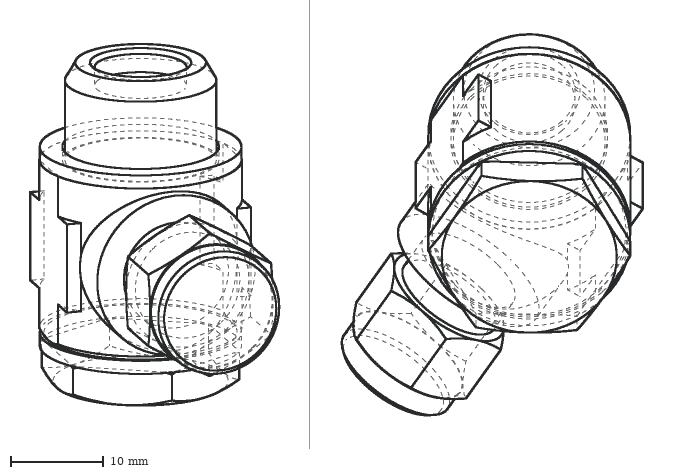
import cadquery as cq
import math

head_height = 4.0
washer_thickness = 1.5
body_height = 19.5
stud_height = 9.5
body_bottom = head_height + washer_thickness
body_top = body_bottom + body_height
stud_bottom = body_top + washer_thickness
overall_height = stud_bottom + stud_height

body_radius = 11.0
body_chamfer = 0.5
flat_distance = 21.0
pad_width = 12.95
pad_height = 10.0

head_across_flats = 19.0
head_top_radius = 10.55
washer_radius = 10.95
washer_bore_radius = 8.5
stud_radius = 8.23
stud_tip_radius = 7.1
stud_tip_height = 2.0
socket_radius = 5.0
socket_depth = 2.57
socket_chamfer = 0.5

branch_height = 15.5
boss_radius = 9.0
boss_end = 12.5
neck_radius = 5.95
nut_start = 16.5
nut_end = 24.95
nut_across_flats = 14.0
collar_radius = 6.9
branch_end = 28.0
collar_chamfer = 0.5

hex_chamfer_angle = math.radians(30)


def cylinder(radius, bottom, top):
    """Vertical cylinder between two heights."""
    return cq.Workplane("XY").workplane(offset=bottom).circle(radius).extrude(top - bottom)


def branch_plane(distance):
    """Plane across the branch axis, facing +X, at a distance from the vertical axis."""
    return cq.Workplane("YZ", origin=(distance, 0, branch_height))


def branch_cylinder(radius, start, end):
    """Cylinder along the branch axis."""
    return branch_plane(start).circle(radius).extrude(end - start)


def chamfered_hexagon(across_flats, height, bottom_radius, top_radius):
    """Upright hexagon with corners on X, its ends cut by cones down to the given end radii."""
    corner_radius = across_flats / math.sqrt(3)
    bottom_rise = (corner_radius - bottom_radius) * math.tan(hex_chamfer_angle)
    top_drop = (corner_radius - top_radius) * math.tan(hex_chamfer_angle)
    envelope = (
        cq.Workplane("XZ")
        .polyline([
            (0, 0),
            (bottom_radius, 0),
            (corner_radius, bottom_rise),
            (corner_radius, height - top_drop),
            (top_radius, height),
            (0, height),
        ])
        .close()
        .revolve(360, (0, 0, 0), (0, 1, 0))
    )
    return cq.Workplane("XY").polygon(6, 2 * corner_radius).extrude(height).intersect(envelope)


def make_body():
    """Round body with a boss for the branch, two flats and a pad on each flat."""
    body = cylinder(body_radius, body_bottom, body_top).faces("<Z").chamfer(body_chamfer)
    between_flats = cq.Workplane("XY").box(2 * body_radius, flat_distance, 2 * overall_height)
    pads = cq.Workplane("XY", origin=(0, 0, branch_height)).box(pad_width, flat_distance, pad_height)
    boss = branch_cylinder(boss_radius, 0, boss_end)
    return body.intersect(between_flats).union(pads).union(boss)


def make_bolt():
    """Hexagonal head, a washer on either side of the body, and the socketed stud."""
    head = chamfered_hexagon(head_across_flats, head_height, head_across_flats / 2, head_top_radius)
    lower_washer = cylinder(washer_radius, head_height, body_bottom)
    upper_washer = cylinder(washer_radius, body_top, stud_bottom)
    washer_bore = cylinder(washer_bore_radius, body_top, stud_bottom)
    stud = (
        cylinder(stud_radius, body_top, overall_height)
        .faces(">Z")
        .chamfer(stud_tip_height, stud_radius - stud_tip_radius)
    )
    socket = cylinder(socket_radius, overall_height - socket_depth, overall_height)
    rim = cq.selectors.RadiusNthSelector(0)
    stud = stud.cut(socket).faces(">Z").edges(rim).chamfer(socket_chamfer)
    return head.union(lower_washer).union(upper_washer.cut(washer_bore)).union(stud)


def make_branch():
    """Neck, union nut and end collar along the branch axis."""
    neck = branch_cylinder(neck_radius, 0, nut_end)
    nut_end_radius = nut_across_flats / 2
    nut = (
        chamfered_hexagon(nut_across_flats, nut_end - nut_start, nut_end_radius, nut_end_radius)
        .rotate((0, 0, 0), (0, 1, 0), 90)
        .translate((nut_start, 0, branch_height))
    )
    collar = branch_cylinder(collar_radius, nut_end, branch_end).faces(">X").chamfer(collar_chamfer)
    return neck.union(nut).union(collar)


result = make_body().union(make_bolt()).union(make_branch())